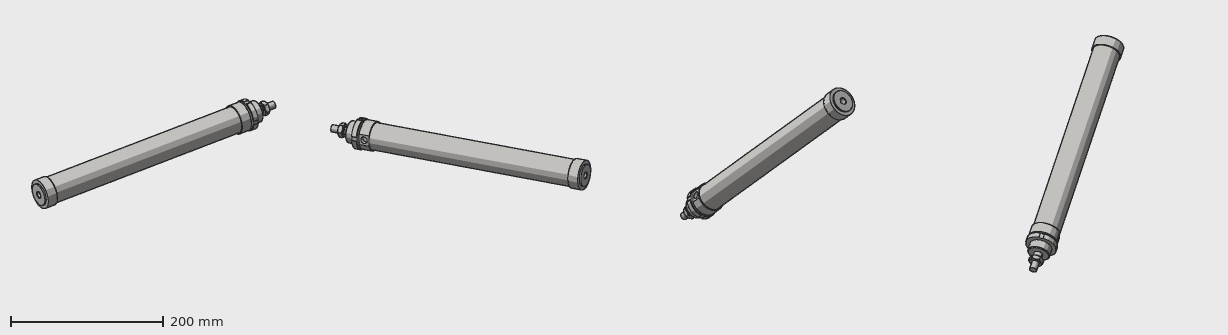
import cadquery as cq
import math

overall_length = 369.5
tip_y = overall_length / 2
rear_y = -overall_length / 2

tube_diameter = 36.5
cap_diameter = 40.0
cap_length = 14.5
nose_diameter = 30.0
nose_front_y = tip_y - 26.0
nose_chamfer = 1.0
head_front_y = tip_y - 48.0
rear_boss_length = 2.2
rear_hole_diameter = 8.0
rear_hole_chamfer = 0.7
rear_hole_depth = 10.0
drill_point_angle = 118.0
port_flat_width = 14.8
port_diameter = 9.2
port_depth = 6.0

rod_diameter = 12.0
thread_diameter = 10.0
rod_shoulder_gap = 0.7
wrench_flat_distance = 10.0
wrench_flat_length = 4.0
wrench_flat_run_out = 1.5

rod_nut_flats = 17.0
rod_nut_thickness = 7.0
rod_nut_bevel = 1.65
rod_nut_front_y = tip_y - 11.5
rod_nut_rear_y = rod_nut_front_y - rod_nut_thickness

ring_diameter = 42.0
ring_front_y = tip_y - 38.0
ring_thickness = 7.8
ring_slot_count = 4
ring_slot_width = 5.5
ring_slot_depth = 1.0
ring_chamfer = 0.7

rod_shoulder_y = rod_nut_rear_y - rod_shoulder_gap
head_rear_y = head_front_y - cap_length
rod_inner_y = head_rear_y


def cylinder(diameter, start_y, end_y):
    """Round bar on the Y axis between two Y positions."""
    return cq.Workplane("XZ", origin=(0, end_y, 0)).circle(diameter / 2).extrude(end_y - start_y)


def make_body():
    """Tube, head, nose and rear cap with the port, the rear hole and the rod bore."""
    cap_front_y = rear_y + rear_boss_length + cap_length
    cap_rear_y = rear_y + rear_boss_length
    tube_radius = tube_diameter / 2
    cap_radius = cap_diameter / 2
    nose_radius = nose_diameter / 2
    profile = [
        (0, rear_y),
        (-nose_radius, rear_y),
        (-nose_radius, cap_rear_y),
        (-cap_radius, cap_rear_y),
        (-cap_radius, cap_front_y),
        (-tube_radius, cap_front_y),
        (-tube_radius, head_rear_y),
        (-cap_radius, head_rear_y),
        (-cap_radius, head_front_y),
        (-nose_radius, head_front_y),
        (-nose_radius, nose_front_y - nose_chamfer),
        (-nose_radius + nose_chamfer, nose_front_y),
        (0, nose_front_y),
    ]
    body = cq.Workplane("XY").polyline(profile).close().revolve(360, (0, 0), (0, 1))
    body = body.cut(cylinder(rod_diameter, rod_inner_y, nose_front_y))
    return body.cut(rear_hole()).cut(port_cut())


def rear_hole():
    """Drilled blind hole in the rear face, with a chamfered mouth and a conical bottom."""
    radius = rear_hole_diameter / 2
    point_length = radius / math.tan(math.radians(drill_point_angle / 2))
    wall_end_y = rear_y + rear_hole_depth
    profile = [
        (0, rear_y),
        (radius + rear_hole_chamfer, rear_y),
        (radius, rear_y + rear_hole_chamfer),
        (radius, wall_end_y),
        (0, wall_end_y + point_length),
    ]
    return cq.Workplane("XY").polyline(profile).close().revolve(360, (0, 0), (0, 1))


def port_cut():
    """Flat along the -X side of the head with a blind round port in its middle."""
    port_y = head_front_y - cap_length / 2
    flat_x = -math.sqrt((cap_diameter / 2) ** 2 - (port_flat_width / 2) ** 2)
    flat_depth = cap_diameter / 2 + flat_x
    flat = cq.Workplane("XY").box(flat_depth, cap_length, port_flat_width)
    flat = flat.translate((flat_x - flat_depth / 2, port_y, 0))
    port = cq.Workplane("YZ", origin=(flat_x, port_y, 0)).circle(port_diameter / 2).extrude(port_depth)
    return flat.union(port)


def make_rod():
    """Rod with a thinner threaded end and two wrench flats facing -X and +X."""
    rod = cylinder(rod_diameter, rod_inner_y, rod_shoulder_y)
    rod = rod.union(cylinder(thread_diameter, rod_shoulder_y, tip_y))
    rod_radius = rod_diameter / 2
    flat_x = wrench_flat_distance / 2
    flat_end_y = rod_shoulder_y - wrench_flat_length
    cut_outline = [
        (flat_x, rod_shoulder_y),
        (flat_x, flat_end_y),
        (rod_radius, flat_end_y - wrench_flat_run_out),
        (rod_radius, rod_shoulder_y),
    ]
    flat_cut = cq.Workplane("XY").polyline(cut_outline).close().extrude(rod_radius, both=True)
    return rod.cut(flat_cut).cut(flat_cut.mirror("YZ"))


def make_rod_nut():
    """Hexagon nut with corners on the X axis, its corners bevelled on both faces."""
    corner_diameter = rod_nut_flats / math.cos(math.radians(30))
    nut = cq.Workplane("XZ", origin=(0, rod_nut_front_y, 0)).polygon(6, corner_diameter)
    nut = nut.extrude(rod_nut_thickness)
    envelope = cylinder(corner_diameter, rod_nut_rear_y, rod_nut_front_y).edges().chamfer(rod_nut_bevel)
    return nut.intersect(envelope).cut(cylinder(thread_diameter, rod_nut_rear_y, rod_nut_front_y))


def make_ring_nut():
    """Round nut on the nose with evenly spaced hook-wrench slots in its rim and a chamfered rear edge."""
    ring_rear_y = ring_front_y - ring_thickness
    ring = cylinder(ring_diameter, ring_rear_y, ring_front_y).faces("<Y").chamfer(ring_chamfer)
    ring = ring.cut(cylinder(nose_diameter, ring_rear_y, ring_front_y))
    slot = cq.Workplane("XY").box(2 * ring_slot_depth, ring_thickness, ring_slot_width)
    slot = slot.translate((ring_diameter / 2, ring_rear_y + ring_thickness / 2, 0))
    for i in range(ring_slot_count):
        ring = ring.cut(slot.rotate((0, 0, 0), (0, 1, 0), i * 360 / ring_slot_count))
    return ring


body = make_body()
rod = make_rod()
rod_nut = make_rod_nut()
ring_nut = make_ring_nut()

result = cq.Compound.makeCompound([body.val(), rod.val(), rod_nut.val(), ring_nut.val()])